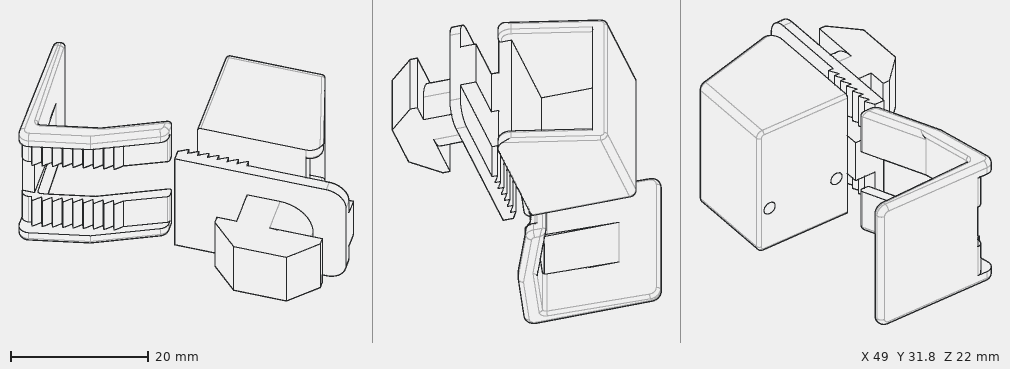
import cadquery as cq
import math

height = 22.0
shelf_height = 18.0
tooth_pitch = 1.5
tooth_depth = 0.85
cut_margin = 5.0

clip_length = 21.0
wall_top_y = 17.2
wall_top_thickness = 1.6
wall_draft = math.radians(2.1)
heel_y = -3.85
arm_slope = math.radians(12.0)
tip_slope = math.radians(24.0)
bend_x = 10.7
inner_bend_x = 10.6
arm_thickness = 2.88
heel_radius = 1.5
inner_corner_radius = 0.5
wall_corner_radius = 1.5
outer_edge_radius = 0.8
inner_edge_radius = 0.5
inner_tip_radius = 0.4

recess_corner_y = -1.6
recess_corner_radius = 1.0
recess_tip_radius = 0.5
clip_tooth_count = 9
first_tooth_x = 1.6
tip_recess = 1.25
clip_slot_height = 7.3
clip_slot_x = 1.83
slot_floor_y = -0.37

plate_x = 23.0
plate_length = 26.0
plate_thickness = 1.6
plate_corner_radius = 3.0
plate_tooth_count = 7
core_height = 7.0
core_thickness = 3.5
box_x = 25.0
box_depth = 16.0
box_wall = 2.0
box_round_radius = 2.0
box_round_x = 41.5
box_slant = math.radians(15.0)
box_back_radius = 1.0
box_edge_radius = 0.5
door_step = 1.1
hole_diameter = 2.0
hole_z = -3.5
stem_center_x = 39.0
stem_width = 10.0
stem_length = 5.6
nut_height = 9.15
head_width = 16.0
head_rim = 1.1
head_chamfer = 4.0


def prism(points, z_size):
    """Extrude an XY outline symmetrically about Z = 0."""
    return cq.Workplane("XY").polyline(points).close().extrude(z_size / 2, both=True)


def block(x0, x1, y0, y1, z_size):
    return cq.Workplane("XY").box(x1 - x0, y1 - y0, z_size).translate(((x0 + x1) / 2, (y0 + y1) / 2, 0))


def round_corner(solid, point, radius):
    """Fillet the edge parallel to Z that passes nearest to an XY point."""
    nearest = cq.NearestToPointSelector((point[0], point[1], 0))
    return solid.edges("|Z").edges(nearest).fillet(radius)


def midpoint(start, end):
    return ((start[0] + end[0]) / 2, (start[1] + end[1]) / 2)


def edges_at(solid, point, z):
    """The two edges nearest to an XY point at +z and -z."""
    upper = solid.edges(cq.NearestToPointSelector((point[0], point[1], z)))
    lower = solid.edges(cq.NearestToPointSelector((point[0], point[1], -z)))
    return upper.add(lower)


def arm_y(x, start_y, knee_x):
    """Y of an arm face that starts at start_y on X = 0 and bends at knee_x."""
    knee_y = start_y + min(x, knee_x) * math.tan(arm_slope)
    return knee_y + max(x - knee_x, 0) * math.tan(tip_slope)


inner_start_y = heel_y + arm_thickness / math.cos(arm_slope)
wall_base_thickness = wall_top_thickness + (wall_top_y - inner_start_y) * math.tan(wall_draft)
inner_corner = (wall_base_thickness, arm_y(wall_base_thickness, inner_start_y, inner_bend_x))
inner_tip = (clip_length, arm_y(clip_length, inner_start_y, inner_bend_x))
outer_tip = (clip_length, arm_y(clip_length, heel_y, bend_x))
inner_bend = (inner_bend_x, arm_y(inner_bend_x, inner_start_y, inner_bend_x))
wall_top = (wall_top_thickness, wall_top_y)
inner_outline = [
    inner_tip,
    inner_bend,
    inner_corner,
    wall_top,
    (0, wall_top_y),
]


def clip_shell():
    """L-shaped clip without recess, with all its rounded edges."""
    bend = (bend_x, arm_y(bend_x, heel_y, bend_x))
    shell = prism(inner_outline + [(0, heel_y), bend, outer_tip], height)
    shell = round_corner(shell, (0, heel_y), heel_radius)
    shell = round_corner(shell, inner_corner, inner_corner_radius)
    shell = round_corner(shell, outer_tip, heel_radius)
    shell = round_corner(shell, inner_tip, inner_tip_radius)
    shell = shell.faces(">Y").edges("|X").fillet(wall_corner_radius)
    rim_z = height / 2
    outer_rim = shell.faces("<X").edges("not(<Y)")
    for start, end in [(bend, outer_tip), (inner_bend, inner_tip), (inner_tip, outer_tip)]:
        outer_rim = outer_rim.add(edges_at(shell, midpoint(start, end), rim_z))
    shell = outer_rim.fillet(outer_edge_radius)
    inner_rim = edges_at(shell, midpoint(inner_corner, wall_top), rim_z)
    inner_rim = inner_rim.add(edges_at(shell, midpoint(inner_corner, inner_bend), rim_z))
    return inner_rim.fillet(inner_edge_radius)


def clip_middle():
    """Recessed middle of the clip, with ratchet teeth on the arm's front face."""
    along = (math.cos(arm_slope), math.sin(arm_slope))
    step = (math.sin(tip_slope), -math.cos(tip_slope))
    first_root_y = recess_corner_y + first_tooth_x * math.tan(arm_slope)
    points = [(0, recess_corner_y)]
    for i in range(clip_tooth_count):
        root = (first_tooth_x + i * tooth_pitch * along[0], first_root_y + i * tooth_pitch * along[1])
        points.append(root)
        points.append((root[0] + tooth_depth * step[0], root[1] + tooth_depth * step[1]))
    last_run = clip_tooth_count * tooth_pitch
    points.append((first_tooth_x + last_run * along[0], first_root_y + last_run * along[1]))
    recess_tip = (clip_length, outer_tip[1] + tip_recess)
    points.append(recess_tip)
    middle = prism(inner_outline + points, shelf_height)
    middle = round_corner(middle, (0, recess_corner_y), recess_corner_radius)
    middle = round_corner(middle, inner_corner, inner_corner_radius)
    middle = round_corner(middle, recess_tip, recess_tip_radius)
    return round_corner(middle, inner_tip, inner_tip_radius)


def make_clip():
    reach = clip_length + cut_margin
    recess = block(-cut_margin, reach, heel_y - cut_margin, inner_tip[1] + cut_margin, shelf_height)
    recess = recess.cut(clip_middle())
    arm_slot = block(clip_slot_x, reach, heel_y, wall_top_y, clip_slot_height)
    heel_slot = block(-cut_margin, reach, heel_y, slot_floor_y, clip_slot_height)
    return clip_shell().cut(recess).cut(arm_slot).cut(heel_slot)


plate_end_x = plate_x + plate_length
box_front_y = plate_thickness + core_thickness
box_back_y = box_front_y + box_depth
box_inner_y = (box_front_y + box_wall, box_back_y - box_wall)


def toothed_plate():
    plate = block(plate_x, plate_end_x, 0, plate_thickness, shelf_height)
    plate = plate.edges("|Y and >X").fillet(plate_corner_radius)
    for i in range(plate_tooth_count):
        start = plate_x + i * tooth_pitch
        end = start + tooth_pitch
        tooth = [(start, plate_thickness), (end, plate_thickness), (end, plate_thickness + tooth_depth)]
        plate = plate.union(prism(tooth, shelf_height))
    return plate


def door_cut():
    """Slot for a door across the open side, running down into the core."""
    return block(box_round_x, plate_end_x, box_front_y - door_step, box_inner_y[1], shelf_height)


def box_shell():
    """Hollow box, open on its slanted +X side."""
    center_y = box_front_y + box_round_radius
    slant_start = (
        box_round_x + box_round_radius * math.cos(box_slant),
        center_y + box_round_radius * math.sin(box_slant),
    )
    arc_middle = (
        box_round_x + box_round_radius * math.cos(math.pi / 4),
        center_y - box_round_radius * math.sin(math.pi / 4),
    )
    corner_x = slant_start[0] + (slant_start[1] - box_front_y) * math.tan(box_slant)
    back_x = corner_x - box_depth * math.tan(box_slant)
    outline = [(box_x, box_front_y), (corner_x, box_front_y), (back_x, box_back_y), (box_x, box_back_y)]
    box = prism(outline, height)
    box = box.faces(">Y").edges("|X").fillet(box_back_radius)
    box = box.faces("<X").edges("not(<Y)").fillet(box_edge_radius)
    slant_normal = cq.Vector(math.cos(box_slant), math.sin(box_slant), 0)
    slant_face = cq.DirectionMinMaxSelector(slant_normal, True)
    box = box.faces(slant_face).edges("not(<Y)").fillet(box_edge_radius)
    corner_waste = (
        cq.Workplane("XY")
        .moveTo(box_round_x, box_front_y)
        .threePointArc(arc_middle, slant_start)
        .lineTo(plate_end_x, slant_start[1])
        .lineTo(plate_end_x, box_front_y)
        .close()
        .extrude(height / 2, both=True)
    )
    cavity = block(box_x + box_wall, plate_end_x, *box_inner_y, shelf_height)
    box = box.cut(corner_waste).cut(cavity).cut(door_cut())
    return edges_at(box, arc_middle, shelf_height / 2).fillet(box_edge_radius)


def nut_stem():
    """Quarter-turn stem: two opposite corners carry a full round."""
    stem = block(
        stem_center_x - stem_width / 2, stem_center_x + stem_width / 2, -stem_length, 0, nut_height
    )
    stem = stem.edges("|Y").edges("(<X and <Z) or (>X and >Z)")
    return stem.fillet(stem_width / 2)


def nut_head():
    half = head_width / 2
    rim_y = -stem_length - head_rim
    tip_y = rim_y - head_chamfer
    points = [
        (stem_center_x - half, -stem_length),
        (stem_center_x + half, -stem_length),
        (stem_center_x + half, rim_y),
        (stem_center_x + half - head_chamfer, tip_y),
        (stem_center_x - half + head_chamfer, tip_y),
        (stem_center_x - half, rim_y),
    ]
    return prism(points, nut_height)


def make_holder():
    core = block(plate_x, plate_end_x, plate_thickness, box_front_y, core_height)
    holder = toothed_plate().union(core).union(box_shell()).cut(door_cut())
    for y in box_inner_y:
        hole = cq.Workplane("YZ", origin=(box_x, y, hole_z)).circle(hole_diameter / 2).extrude(box_wall)
        holder = holder.cut(hole)
    return holder.union(nut_stem()).union(nut_head())


clip = make_clip()
holder = make_holder()
result = cq.Compound.makeCompound([clip.val(), holder.val()])